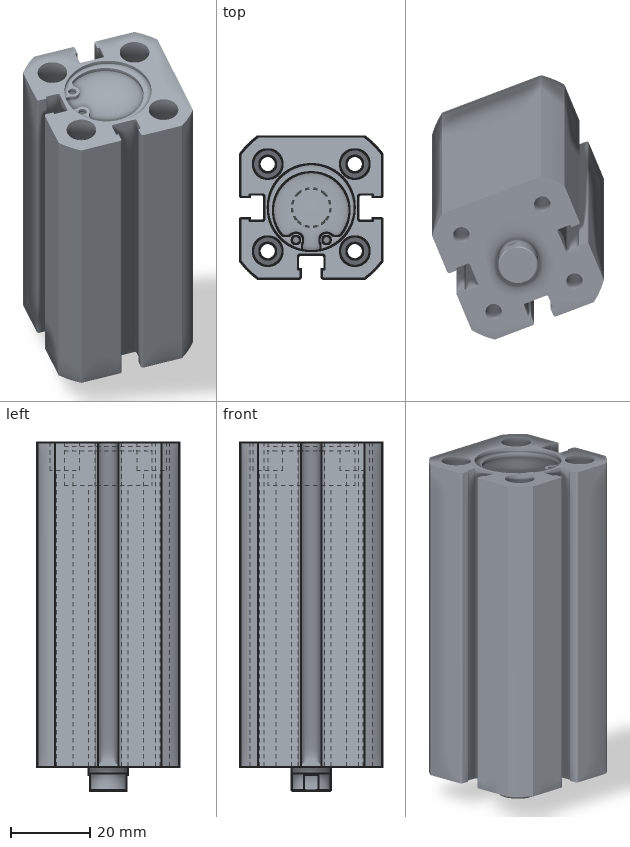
import cadquery as cq

TOTAL_LENGTH = 88.0
BODY_WIDTH = 36.0
CORNER_DIAMETER = 45.0
ROD_PROJECTION = 6.0
BODY_LENGTH = TOTAL_LENGTH - ROD_PROJECTION
HALF_WIDTH = BODY_WIDTH / 2

SLOT_DEPTH = 6.1
SLOT_LIP = 2.5
SLOT_MOUTH_WIDTH = 5.3
SLOT_INNER_WIDTH = 6.6
SLOT_MOUTH_ROUND = 0.5
SLOT_INNER_ROUND = 0.4
SLOT_ANGLES = (-90, 0, 90)

HOLE_SPACING = 22.0
HOLE_DIAMETER = 4.1
COUNTERBORE_DIAMETER = 7.5
COUNTERBORE_DEPTH = 7.0

BORE_RADIUS = 11.0
RING_RECESS = 1.1
RING_THICKNESS = 1.1
COVER_THICKNESS = 8.8
RING_BOTTOM = BODY_LENGTH - RING_RECESS - RING_THICKNESS
COVER_BOTTOM = RING_BOTTOM - COVER_THICKNESS

RING_INNER_RADIUS = 9.7
RING_INNER_Y = -0.7
SHOULDER_Y = -7.2
SHOULDER_ROUND = 1.4
LINE_MARGIN = 0.1
LUG_X = 3.9
LUG_Y = -8.2
LUG_RADIUS = 1.85
LUG_HOLE_DIAMETER = 2.1
RING_GAP = 4.7

ROD_DIAMETER = 10.0
ROD_TIP_DIAMETER = 9.9
ROD_TIP_LENGTH = 4.3
ROD_FLAT_DISTANCE = 9.2
ROD_FLAT_LENGTH = 4.05
ROD_CHAMFER = 0.3


def disc(radius, bottom, height):
    """Round plate about the Z axis."""
    return cq.Workplane("XY").workplane(offset=bottom).circle(radius).extrude(height)


def block(x_size, y_size, bottom, height, y_center=0.0):
    """Rectangular block centred on X = 0."""
    return cq.Workplane("XY", origin=(0, y_center, bottom)).rect(x_size, y_size).extrude(height)


def slot_cutter():
    """T-slot along the whole housing, open towards -Y, with rounded inner corners."""
    inner_depth = SLOT_DEPTH - SLOT_LIP
    inner_y = SLOT_LIP + inner_depth / 2 - HALF_WIDTH
    inner = block(SLOT_INNER_WIDTH, inner_depth, 0, BODY_LENGTH, inner_y)
    inner = inner.edges("|Z and >Y").fillet(SLOT_INNER_ROUND)
    mouth = block(SLOT_MOUTH_WIDTH, SLOT_LIP, 0, BODY_LENGTH, SLOT_LIP / 2 - HALF_WIDTH)
    return inner.union(mouth)


def cut_slot(bar):
    """Cut one T-slot into the -Y side and round the two edges of its mouth."""
    bar = bar.cut(slot_cutter())
    mouth_edges = cq.selectors.BoxSelector(
        (-SLOT_INNER_WIDTH / 2, -HALF_WIDTH - SLOT_LIP / 2, 0),
        (SLOT_INNER_WIDTH / 2, -HALF_WIDTH + SLOT_LIP / 2, BODY_LENGTH),
    )
    return bar.edges("|Z").edges(mouth_edges).fillet(SLOT_MOUTH_ROUND)


def slotted_bar():
    """Square bar with turned corners and a T-slot on three sides."""
    bar = block(BODY_WIDTH, BODY_WIDTH, 0, BODY_LENGTH)
    bar = bar.intersect(disc(CORNER_DIAMETER / 2, 0, BODY_LENGTH))
    for angle in SLOT_ANGLES:
        turned = bar.rotate((0, 0, 0), (0, 0, 1), -angle)
        bar = cut_slot(turned).rotate((0, 0, 0), (0, 0, 1), angle)
    return bar


def make_housing():
    housing = (
        slotted_bar()
        .faces(">Z").workplane(origin=(0, 0, BODY_LENGTH))
        .rect(HOLE_SPACING, HOLE_SPACING, forConstruction=True).vertices()
        .cboreHole(HOLE_DIAMETER, COUNTERBORE_DIAMETER, COUNTERBORE_DEPTH)
    )
    bore = disc(BORE_RADIUS, COVER_BOTTOM, BODY_LENGTH - COVER_BOTTOM)
    rod_hole = disc(ROD_DIAMETER / 2, 0, COVER_BOTTOM)
    return housing.cut(bore).cut(rod_hole)


def make_head_cover():
    return disc(BORE_RADIUS, COVER_BOTTOM, COVER_THICKNESS)


def make_retaining_ring():
    """Internal circlip with two pierced lugs either side of a gap at -Y."""
    outer = disc(BORE_RADIUS, RING_BOTTOM, RING_THICKNESS)
    opening = disc(RING_INNER_RADIUS, RING_BOTTOM, RING_THICKNESS).translate((0, RING_INNER_Y, 0))
    above_shoulder = block(
        2 * BORE_RADIUS, 2 * BORE_RADIUS, RING_BOTTOM, RING_THICKNESS, SHOULDER_Y + BORE_RADIUS
    )
    gap = block(RING_GAP, BORE_RADIUS, RING_BOTTOM, RING_THICKNESS, -BORE_RADIUS / 2)
    lug_centers = [(-LUG_X, LUG_Y), (LUG_X, LUG_Y)]
    lugs = (
        cq.Workplane("XY").workplane(offset=RING_BOTTOM)
        .pushPoints(lug_centers).circle(LUG_RADIUS).extrude(RING_THICKNESS)
    )
    lug_holes = (
        cq.Workplane("XY").workplane(offset=RING_BOTTOM)
        .pushPoints(lug_centers).circle(LUG_HOLE_DIAMETER / 2).extrude(RING_THICKNESS)
    )
    ring = outer.cut(opening.intersect(above_shoulder)).cut(gap).union(lugs)
    shoulder_line = cq.selectors.BoxSelector(
        (-BORE_RADIUS, SHOULDER_Y - LINE_MARGIN, RING_BOTTOM),
        (BORE_RADIUS, SHOULDER_Y + LINE_MARGIN, RING_BOTTOM + RING_THICKNESS),
    )
    ring = ring.edges("|Z").edges(shoulder_line).fillet(SHOULDER_ROUND)
    return ring.cut(lug_holes)


def make_piston_rod():
    """Rod up to the head cover, with a slightly thinner tip that carries two flats."""
    tip = disc(ROD_TIP_DIAMETER / 2, -ROD_PROJECTION, ROD_TIP_LENGTH)
    tip = tip.faces("<Z").chamfer(ROD_CHAMFER)
    between_flats = block(ROD_DIAMETER, ROD_FLAT_DISTANCE, -ROD_PROJECTION, ROD_FLAT_LENGTH)
    outside_flats = disc(ROD_DIAMETER, -ROD_PROJECTION, ROD_FLAT_LENGTH).cut(between_flats)
    shank_bottom = ROD_TIP_LENGTH - ROD_PROJECTION
    shank = disc(ROD_DIAMETER / 2, shank_bottom, COVER_BOTTOM - shank_bottom)
    return shank.union(tip.cut(outside_flats))


housing = make_housing()
head_cover = make_head_cover()
retaining_ring = make_retaining_ring()
piston_rod = make_piston_rod()

result = cq.Compound.makeCompound(
    [housing.val(), head_cover.val(), retaining_ring.val(), piston_rod.val()]
)